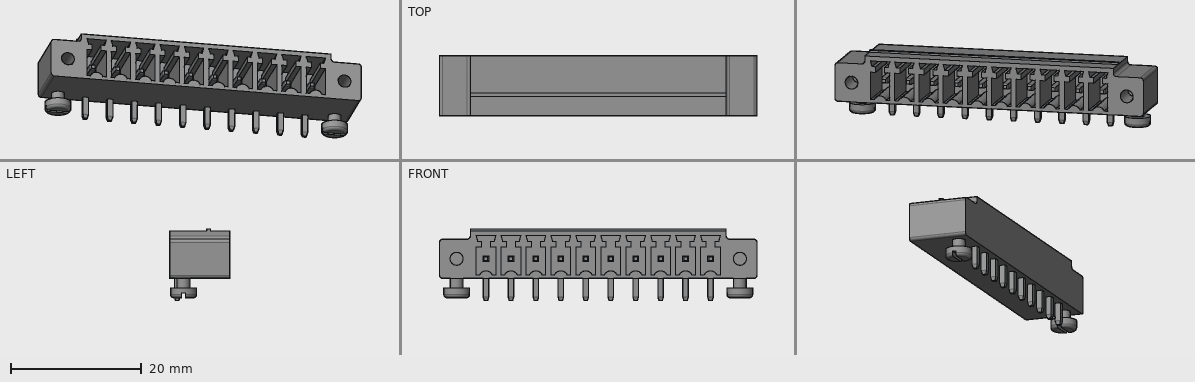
import cadquery as cq

length = 48.5
depth = 9.2
overall_height = 10.95
main_length = 39.1
main_height = 7.25
ear_height = 6.0
edge_radius = 0.5
front_y = -depth / 2
back_y = depth / 2

rib_width = 0.6
rib_height = 0.3
rib_y = -1.35

contact_count = 10
row_span = 34.3
pitch = row_span / (contact_count - 1)
contact_xs = [-row_span / 2 + index * pitch for index in range(contact_count)]

chamber_depth = 7.25
chamber_width = 3.0
chamber_floor = 0.55
shoulder_z = 4.8
neck_width = 1.4
neck_top = 5.65
dovetail_bottom_width = 2.5
chamber_top = 6.55
hump_width = 1.95
hump_height = 0.65

pin_size = 0.85
pin_tip_size = 0.55
pin_tip_length = 0.6
pin_z = 3.0
solder_leg_y = 3.45
solder_end_z = rib_height + main_height - overall_height
contact_reach = 4.85

screw_x = 21.65
screw_y = 2.45
shank_diameter = 2.0
head_diameter = 4.0
head_top_z = -1.45
head_height = 1.5
head_edge_radius = 0.5
slot_width = 0.6
slot_depth = 0.75
ear_hole_z = 3.0
ear_hole_depth = 4.85


def block_above(x_size, y_size, z_size, center_y, bottom_z):
    """Box centred on X = 0 and on center_y, standing on bottom_z."""
    return cq.Workplane("XY", origin=(0, center_y, bottom_z)).box(
        x_size, y_size, z_size, centered=(True, True, False)
    )


def make_housing():
    """Stepped block with rounded ear corners, rounded inner steps and the roof rib."""
    half_length = length / 2
    half_main = main_length / 2
    outline = [
        (-half_length, 0),
        (half_length, 0),
        (half_length, ear_height),
        (half_main, ear_height),
        (half_main, main_height),
        (-half_main, main_height),
        (-half_main, ear_height),
        (-half_length, ear_height),
    ]
    body = cq.Workplane("XZ", origin=(0, back_y, 0)).polyline(outline).close().extrude(depth)
    ear_edges = body.edges("|Y").edges("<X or >X")
    step_edges = body.edges(
        cq.selectors.BoxSelector(
            (-half_main - edge_radius, front_y, ear_height - edge_radius),
            (half_main + edge_radius, back_y, ear_height + edge_radius),
        )
    ).edges("|Y")
    body = body.newObject(ear_edges.vals() + step_edges.vals()).fillet(edge_radius)
    rib = block_above(main_length, rib_width, rib_height, rib_y, main_height)
    return body.union(rib)


def make_chamber(x):
    """Cutter for one contact chamber, open at the front."""
    half_cell = chamber_width / 2
    half_neck = neck_width / 2
    half_dovetail = dovetail_bottom_width / 2
    half_hump = hump_width / 2
    return (
        cq.Workplane("XZ", origin=(x, front_y, 0))
        .moveTo(half_hump, chamber_floor)
        .lineTo(half_cell, chamber_floor)
        .lineTo(half_cell, shoulder_z)
        .lineTo(half_neck, shoulder_z)
        .lineTo(half_neck, neck_top)
        .lineTo(half_dovetail, neck_top)
        .lineTo(half_cell, chamber_top)
        .lineTo(-half_cell, chamber_top)
        .lineTo(-half_dovetail, neck_top)
        .lineTo(-half_neck, neck_top)
        .lineTo(-half_neck, shoulder_z)
        .lineTo(-half_cell, shoulder_z)
        .lineTo(-half_cell, chamber_floor)
        .lineTo(-half_hump, chamber_floor)
        .threePointArc((0, chamber_floor + hump_height), (half_hump, chamber_floor))
        .close()
        .extrude(-chamber_depth)
    )


def make_leg(start, leg_length):
    """Square leg with a tapered tip, built outwards along the normal of the start plane."""
    shaft_length = leg_length - pin_tip_length
    shaft = start.rect(pin_size, pin_size).extrude(shaft_length)
    tip = (
        start.workplane(offset=shaft_length)
        .rect(pin_size, pin_size)
        .workplane(offset=pin_tip_length)
        .rect(pin_tip_size, pin_tip_size)
        .loft()
    )
    return shaft.union(tip)


def make_pin(x):
    """Angled pin: one leg points forward in the chamber, the other points down."""
    chamber_back_y = front_y + chamber_depth
    contact_leg = make_leg(cq.Workplane("XZ", origin=(x, chamber_back_y, pin_z)), contact_reach)
    solder_leg = make_leg(
        cq.Workplane("XY", origin=(x, solder_leg_y, pin_z)).transformed(rotate=(180, 0, 0)),
        pin_z - solder_end_z,
    )
    return contact_leg.union(solder_leg)


def make_screw(x):
    """Slotted screw hanging below an ear, its shank ending at the underside."""
    head_bottom_z = head_top_z - head_height
    head = (
        cq.Workplane("XY", origin=(x, screw_y, head_bottom_z))
        .circle(head_diameter / 2)
        .extrude(head_height)
        .faces("<Z")
        .edges()
        .fillet(head_edge_radius)
    )
    slot = block_above(head_diameter, slot_width, slot_depth, screw_y, head_bottom_z)
    slot = slot.translate((x, 0, 0))
    shank = (
        cq.Workplane("XY", origin=(x, screw_y, head_top_z))
        .circle(shank_diameter / 2)
        .extrude(-head_top_z)
    )
    return head.cut(slot).union(shank)


def make_ear_hole(x):
    """Cutter for the blind hole in the front of an ear."""
    return (
        cq.Workplane("XZ", origin=(x, front_y, ear_hole_z))
        .circle(shank_diameter / 2)
        .extrude(-ear_hole_depth)
    )


result = make_housing()
for contact_x in contact_xs:
    result = result.cut(make_chamber(contact_x))
    result = result.union(make_pin(contact_x))
for ear_x in (-screw_x, screw_x):
    result = result.cut(make_ear_hole(ear_x))
    result = result.union(make_screw(ear_x))